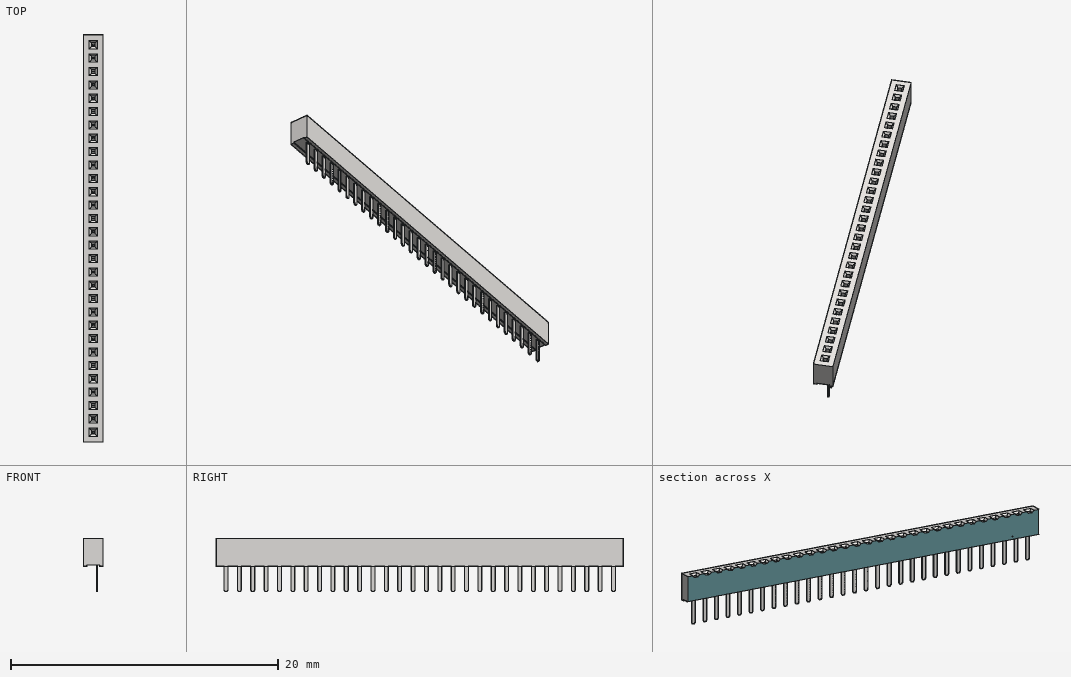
import cadquery as cq

body_length = 30.5
body_width = 1.5
body_height = 2.1

rail_width = 0.27
rail_height = 0.1

total_height = 4.0

contact_count = 30
end_margin_pitches = 0.75
pitch = body_length / (contact_count - 1 + 2 * end_margin_pitches)

funnel_width = 0.6
funnel_depth = 0.15
socket_width = 0.3
socket_depth = 1.52

post_width = 0.1
post_height = 0.9

pin_offset = 0.27
pin_thickness = 0.1
pin_width = 0.3
pin_reach = total_height - body_height
tip_width = 0.15
tip_length = 0.12

contact_places = [
    (index - (contact_count - 1) / 2) * pitch for index in range(contact_count)
]


def make_body():
    """Block standing on two rails, with the rail bottoms at Z = 0."""
    upright = (True, True, False)
    block = cq.Workplane("XY").box(body_width, body_length, body_height, centered=upright)
    channel_width = body_width - 2 * rail_width
    channel = cq.Workplane("XY").box(channel_width, body_length, rail_height, centered=upright)
    return block.cut(channel)


def make_socket():
    """Void of one socket at Y = 0: funnel and hole, less the post left standing in it."""
    top = cq.Workplane("XY").workplane(offset=body_height)
    floor = cq.Workplane("XY").workplane(offset=body_height - socket_depth)
    funnel = (
        top.rect(funnel_width, funnel_width)
        .workplane(offset=-funnel_depth)
        .rect(socket_width, socket_width)
        .loft(combine=True)
    )
    hole = floor.rect(socket_width, socket_width).extrude(socket_depth)
    post = floor.rect(post_width, post_width).extrude(post_height)
    return hole.union(funnel).cut(post)


def make_pin():
    """One flat pin at Y = 0 hanging from the channel floor, narrowing across Y at its tip."""
    outline = [
        (-pin_width / 2, rail_height),
        (pin_width / 2, rail_height),
        (pin_width / 2, tip_length - pin_reach),
        (tip_width / 2, -pin_reach),
        (-tip_width / 2, -pin_reach),
        (-pin_width / 2, tip_length - pin_reach),
    ]
    near_face = cq.Workplane("YZ").workplane(offset=pin_offset - pin_thickness / 2)
    return near_face.polyline(outline).close().extrude(pin_thickness)


body = make_body()
socket = make_socket()
pin = make_pin()

result = body
for y in contact_places:
    result = result.cut(socket.translate((0, y, 0)))
    result = result.union(pin.translate((0, y, 0)))